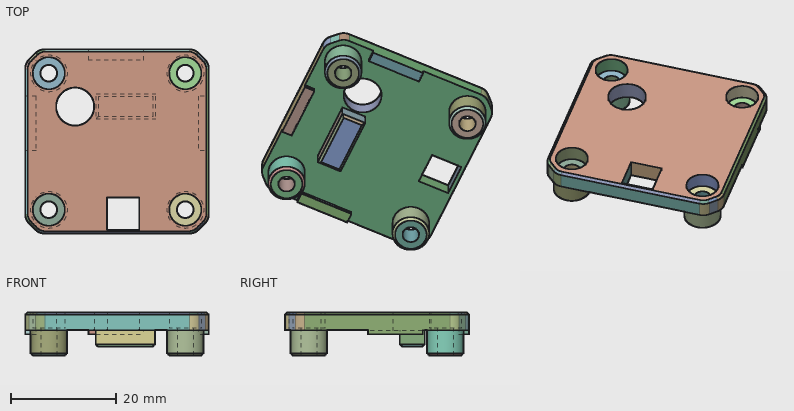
import cadquery as cq

plate_x = 35.02
plate_y = 35.13
total_height = 8.25
plate_thickness = 3.4
corner_cut = 2.7
corner_radius = 2.5
edge_chamfer = 0.5

boss_spacing = 26.0
boss_diameter = 7.0
boss_height = total_height - plate_thickness
screw_diameter = 3.13
counterbore_diameter = 6.1
counterbore_depth = 3.0

round_opening_diameter = 7.2
round_opening_center = (-7.97, 6.65)
square_opening_side = 6.1
square_opening_center = (1.15, -13.75)

block_x = 11.35
block_y = 4.78
block_height = 3.15
block_center = (1.58, 6.7)

lip_length = 10.47
lip_width = 2.0
lip_height = 0.8
side_lip_center_y = 3.5
back_lip_center_x = -0.2


def make_plate():
    """Plate with cut, rounded corners and a chamfered top edge."""
    plate = cq.Workplane("XY").rect(plate_x, plate_y).extrude(plate_thickness)
    plate = plate.edges("|Z").chamfer(corner_cut)
    plate = plate.edges("|Z").fillet(corner_radius)
    return plate.faces(">Z").edges().chamfer(edge_chamfer)


def make_bosses():
    """Four round bosses with a chamfered lower rim."""
    bosses = (
        cq.Workplane("XY")
        .rect(boss_spacing, boss_spacing, forConstruction=True)
        .vertices()
        .circle(boss_diameter / 2)
        .extrude(-boss_height)
    )
    return bosses.faces("<Z").edges().chamfer(edge_chamfer)


def make_block():
    """Rectangular block with a chamfered lower rim."""
    block = cq.Workplane("XY").center(*block_center).rect(block_x, block_y).extrude(-block_height)
    return block.faces("<Z").edges().chamfer(edge_chamfer)


def make_lip(center_x, center_y, size_x, size_y):
    """Shallow rectangular strip below the plate."""
    return cq.Workplane("XY").center(center_x, center_y).rect(size_x, size_y).extrude(-lip_height)


body = make_plate().union(make_bosses()).union(make_block())

side_lip_offset = (plate_x - lip_width) / 2
for side in (-1, 1):
    body = body.union(make_lip(side * side_lip_offset, side_lip_center_y, lip_width, lip_length))
back_lip_center_y = (plate_y - lip_width) / 2
body = body.union(make_lip(back_lip_center_x, back_lip_center_y, lip_length, lip_width))

body = (
    body.faces(">Z")
    .workplane(origin=(0, 0, plate_thickness))
    .rect(boss_spacing, boss_spacing, forConstruction=True)
    .vertices()
    .cboreHole(screw_diameter, counterbore_diameter, counterbore_depth)
)

round_opening = (
    cq.Workplane("XY")
    .center(*round_opening_center)
    .circle(round_opening_diameter / 2)
    .extrude(plate_thickness)
)
square_opening = (
    cq.Workplane("XY")
    .center(*square_opening_center)
    .rect(square_opening_side, square_opening_side)
    .extrude(plate_thickness)
)

result = body.cut(round_opening).cut(square_opening)